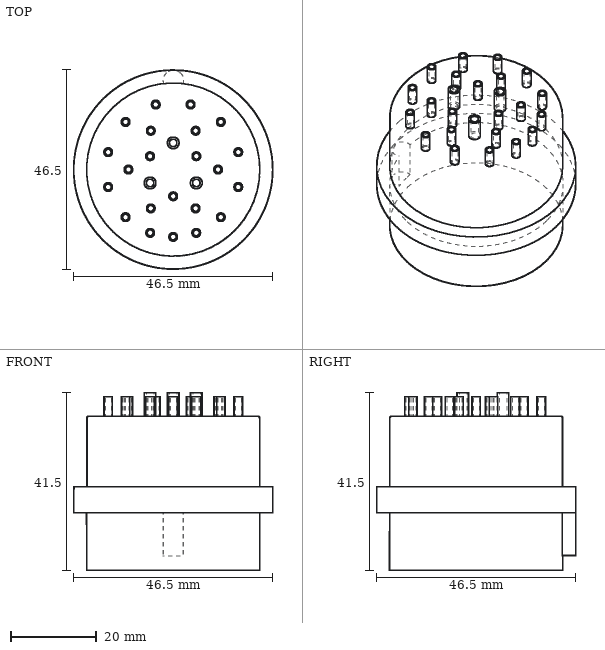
import cadquery as cq
import math

overall_height = 41.5

lower_body_diameter = 40.5
upper_body_diameter = 40.4
pin_face_height = 36.05
top_round = 0.5

flange_diameter = 46.5
flange_bottom = 13.45
flange_thickness = 6.1

key_diameter = 4.8
key_bottom = 3.45
key_center_y = (flange_diameter - key_diameter) / 2

small_pin_diameter = 2.0
small_pin_bore = 1.4
small_pin_height = 4.5
large_pin_diameter = 2.75
large_pin_bore = 1.75
large_pin_height = overall_height - pin_face_height

inner_circle_radius = 6.25
middle_circle_radius = 10.45
outer_circle_radius = 15.7
large_pin_angles = [90, 210, 330]
inner_pin_angles = [30, 150, 270]
middle_pin_angles = range(0, 360, 60)
outer_pin_angles = [*range(-45, 226, 30), 250, 270, 290]


def cylinder(diameter, bottom, height):
    """Upright cylinder on the Z axis."""
    return cq.Workplane("XY").workplane(offset=bottom).circle(diameter / 2).extrude(height)


def pins_on_circle(radius, angles, diameter, bore, height):
    """Hollow pins on a circle, bored down to the level of the pin face."""
    centers = [
        (radius * math.cos(math.radians(angle)), radius * math.sin(math.radians(angle)))
        for angle in angles
    ]
    pin_face = cq.Workplane("XY").workplane(offset=pin_face_height)
    outside = pin_face.pushPoints(centers).circle(diameter / 2).extrude(height)
    bores = pin_face.pushPoints(centers).circle(bore / 2).extrude(height)
    return outside.cut(bores)


def small_pins(radius, angles):
    """Small contact pins on a circle."""
    return pins_on_circle(radius, angles, small_pin_diameter, small_pin_bore, small_pin_height)


lower_body = cylinder(lower_body_diameter, 0, flange_bottom)
upper_body = cylinder(upper_body_diameter, flange_bottom, pin_face_height - flange_bottom)
upper_body = upper_body.faces(">Z").edges().fillet(top_round)
flange = cylinder(flange_diameter, flange_bottom, flange_thickness)
key = cylinder(key_diameter, key_bottom, flange_bottom - key_bottom).translate((0, key_center_y, 0))
large_pins = pins_on_circle(
    inner_circle_radius, large_pin_angles, large_pin_diameter, large_pin_bore, large_pin_height
)

result = (
    lower_body.union(upper_body)
    .union(flange)
    .union(key)
    .union(large_pins)
    .union(small_pins(inner_circle_radius, inner_pin_angles))
    .union(small_pins(middle_circle_radius, middle_pin_angles))
    .union(small_pins(outer_circle_radius, outer_pin_angles))
)